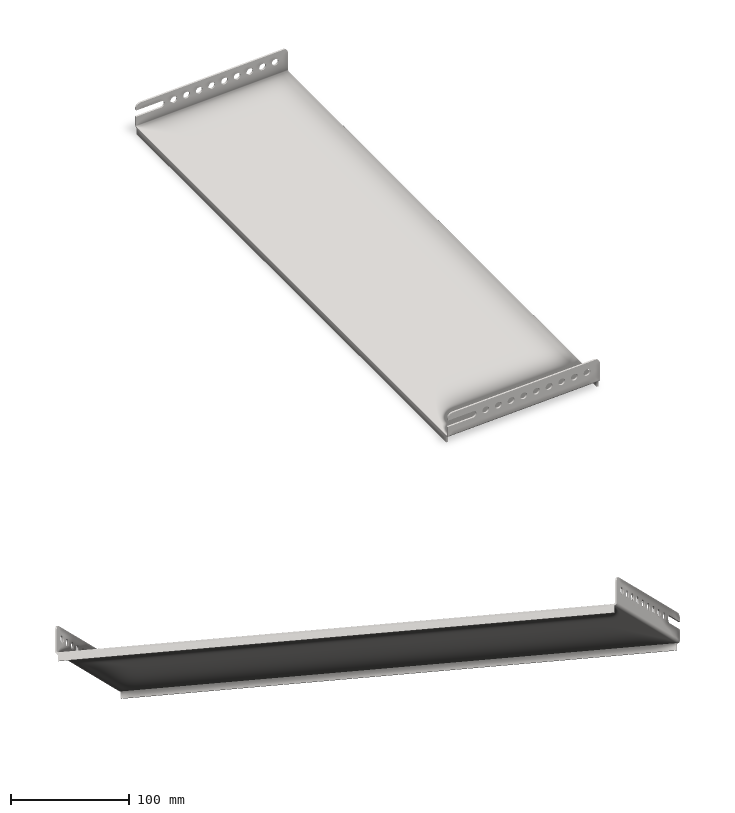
import cadquery as cq

length = 506.0
width = 150.0
height = 31.5

sheet = 1.5
inner_bend = 1.0
outer_bend = inner_bend + sheet

floor_top = 7.5
floor_bottom = floor_top - sheet
flange_outer_bend = 0.5
flange_length = length - 2 * outer_bend

hole_diameter = 6.5
hole_count = 9
first_hole_inset = 12.5
hole_row_span = 112.5
hole_pitch = hole_row_span / hole_count
hole_drop = 10.0
hole_z = height - hole_drop
corner_radius = 5.0


def make_bent_channel():
    """Floor with both end walls folded up, extruded across the width."""
    outer = (
        cq.Workplane("XY")
        .box(length, width, height - floor_bottom, centered=(True, True, False))
        .edges("|Y and <Z")
        .fillet(outer_bend)
    )
    inner = (
        cq.Workplane("XY")
        .box(length - 2 * sheet, width, height - floor_top, centered=(True, True, False))
        .edges("|Y and <Z")
        .fillet(inner_bend)
        .translate((0, 0, sheet))
    )
    return outer.cut(inner).translate((0, 0, floor_bottom))


def make_folded_flanges():
    """Floor strip with both long edges folded down, between the wall bends."""
    outer = (
        cq.Workplane("XY")
        .box(flange_length, width, floor_top, centered=(True, True, False))
        .edges("|X and >Z")
        .fillet(flange_outer_bend)
    )
    inner = cq.Workplane("XY").box(
        flange_length, width - 2 * sheet, floor_bottom, centered=(True, True, False)
    )
    return outer.cut(inner)


def make_long_edge_clearance():
    """Stock outside the rounded long edges of the floor, to be removed."""
    block = cq.Workplane("XY").box(flange_length, width, floor_top, centered=(True, True, False))
    rounded = block.edges("|X and >Z").fillet(flange_outer_bend)
    return block.cut(rounded)


def make_wall_cutouts():
    """Row of holes starting at the +Y edge, and a slot open at the -Y edge."""
    first_y = width / 2 - first_hole_inset
    hole_points = [(first_y - i * hole_pitch, hole_z) for i in range(hole_count)]
    slot_y = first_y - hole_row_span
    slot_run = slot_y + width / 2
    wall_plane = cq.Workplane("YZ")
    holes = wall_plane.pushPoints(hole_points).circle(hole_diameter / 2).extrude(length, both=True)
    slot_end = wall_plane.center(slot_y, hole_z).circle(hole_diameter / 2).extrude(length, both=True)
    slot_channel = (
        wall_plane.center(slot_y - slot_run / 2, hole_z)
        .rect(slot_run, hole_diameter)
        .extrude(length, both=True)
    )
    return holes.union(slot_end).union(slot_channel)


rounded_envelope = (
    cq.Workplane("XY")
    .box(length, width, height, centered=(True, True, False))
    .edges("|X and >Z")
    .fillet(corner_radius)
)

channel = make_bent_channel().intersect(rounded_envelope)
tray = channel.cut(make_long_edge_clearance()).union(make_folded_flanges())
result = tray.cut(make_wall_cutouts())